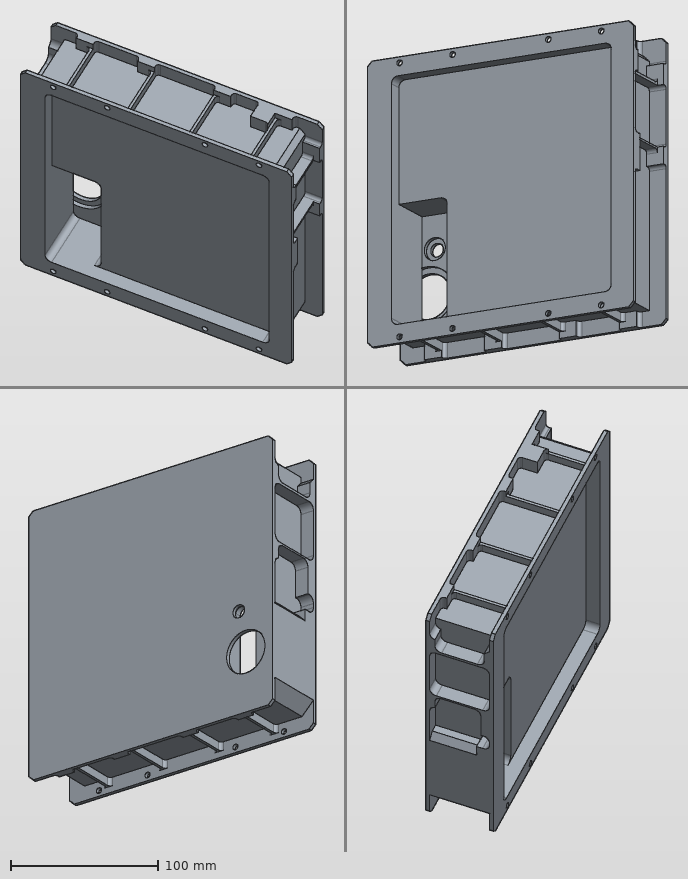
import cadquery as cq

LENGTH = 205.8
DEPTH = 49.8
HEIGHT = 203.3
RIGHT = LENGTH / 2
LEFT = -RIGHT
BACK = DEPTH / 2
FRONT = -BACK
TOP = HEIGHT / 2
CLEAR = 10.3

FLANGE = 2.9
FLANGE_CORNER = 3.7
INNER_BACK = BACK - FLANGE
INNER_FRONT = FRONT + FLANGE

FLOOR_INSET = 11.1
RIB_INSET = 4.7
LEFT_INSET = 10.5
RIGHT_INSET = 13.0
FLOOR_Z = TOP - FLOOR_INSET
RIB_Z = TOP - RIB_INSET
LEFT_FLOOR = LEFT + LEFT_INSET
RIGHT_FLOOR = RIGHT - RIGHT_INSET
RIGHT_RIB = RIGHT - RIB_INSET

PAD = 6.8
WIDE_PAD = 9.3
LIP_PAD = 12.3
BLOCK = 16.5
PAD_BACK = BACK - PAD
PAD_FRONT = FRONT + PAD
WIDE_PAD_FRONT = FRONT + WIDE_PAD

SMALL_RADIUS = 2.5
POCKET_RADIUS = 5.0

RIB = 2.0
INNER_RIB = 22.5
OUTER_RIB = 69.0
PAD_LENGTH = 13.0
BLOCK_LENGTH = 13.8
BLOCK_START = OUTER_RIB - BLOCK_LENGTH
BLOCK_FRONT = BACK - BLOCK

CORNER_LEDGE_Z = 80.7
RIGHT_LEDGE_Z = 82.3
CORNER_FLOOR_Z = 69.3
MIDDLE_TOP_Z = 67.3
MIDDLE_BOTTOM_Z = 23.5
LOWER_TOP_Z = 22.0
LOWER_LEDGE_Z = 11.0
LOBE_TOP_Z = -2.9
LOBE_BOTTOM_Z = -15.8
LOWER_BOTTOM_Z = -20.0
LOWER_FRONT = FRONT + LIP_PAD
LEDGE_CHAMFER = 5.4
LIP_CHAMFER = 4.7

TOP_RIGHT_CHAMFER = 4.1
BOTTOM_LEFT_CHAMFER = 9.7

CAVITY_LEFT = -84.2
CAVITY_RIGHT = 85.8
CAVITY_TOP = 88.3
CAVITY_DEPTH = 10.5
WELL_RIGHT = -47.0
WELL_TOP = 0.5
WELL_FLOOR = 6.2

PORTS = [(-74.3, -23.9, 9.7, 16.3), (-80.3, -56.0, 32.3, 40.7)]
PORT_RECESS = WELL_FLOOR / 2

SCREW_DIAMETER = 4.1
SCREW_EDGE = 4.3
SCREW_X = [-78.0, -37.0, 37.0, 78.0]


def box(x_range, y_range, z_range):
    """Box spanning the given (low, high) ranges."""
    (x0, x1), (y0, y1), (z0, z1) = x_range, y_range, z_range
    return cq.Workplane("XY").box(x1 - x0, y1 - y0, z1 - z0, centered=False).translate((x0, y0, z0))


def rounded_box(x_range, y_range, z_range, axis, radius):
    """Box with the four edges along one axis rounded."""
    return box(x_range, y_range, z_range).edges("|" + axis).fillet(radius)


def cylinder(x, z, diameter, y_range):
    """Cylinder along Y."""
    y0, y1 = y_range
    return cq.Workplane("XZ", origin=(x, y0, z)).circle(diameter / 2).extrude(y0 - y1)


def edge_wedge(x, z, x_size, z_size, y_range):
    """Triangular prism along Y with its square corner at (x, z)."""
    y0, y1 = y_range
    corner = [(x, z), (x + x_size, z), (x, z + z_size)]
    return cq.Workplane("XZ", origin=(0, y0, 0)).polyline(corner).close().extrude(y0 - y1)


FULL_Y = (INNER_FRONT, INNER_BACK)
FRONT_OF_PADS_Y = (INNER_FRONT, PAD_BACK)
BETWEEN_PADS_Y = (PAD_FRONT, PAD_BACK)


def half_bays(with_block):
    """Bays in the right half of the top edge: leaves ribs, back pads and, if asked, the block."""
    height = (FLOOR_Z, TOP + CLEAR)
    inner_start = INNER_RIB + RIB
    inner_pad_end = INNER_RIB + PAD_LENGTH
    outer_pad_end = OUTER_RIB + PAD_LENGTH
    wide_end = BLOCK_START if with_block else OUTER_RIB
    narrow_back = BLOCK_FRONT if with_block else PAD_BACK
    past_end = RIGHT + CLEAR

    def bay(x_range, y_range):
        return rounded_box(x_range, y_range, height, "Z", SMALL_RADIUS)

    bays = bay((-INNER_RIB, INNER_RIB), FULL_Y)
    bays = bays.union(bay((inner_pad_end, wide_end), FULL_Y))
    bays = bays.union(bay((inner_start, wide_end), FRONT_OF_PADS_Y))
    bays = bays.union(bay((inner_start, OUTER_RIB), (INNER_FRONT, narrow_back)))
    bays = bays.union(bay((OUTER_RIB + RIB, past_end), FRONT_OF_PADS_Y))
    bays = bays.union(bay((outer_pad_end, past_end), FULL_Y))

    relief = box((0, past_end), FRONT_OF_PADS_Y, (RIB_Z, TOP + CLEAR))
    if with_block:
        spared_y = (BLOCK_FRONT - SMALL_RADIUS, INNER_BACK)
        relief = relief.cut(box((BLOCK_START, OUTER_RIB), spared_y, height))
    return bays.union(relief)


def left_pockets():
    """Cutting tools for the three stepped pockets in the left side."""
    depth = (LEFT - CLEAR, LEFT_FLOOR)

    def pocket(y_range, z_range):
        return rounded_box(depth, y_range, z_range, "X", POCKET_RADIUS)

    ledge = box(depth, FULL_Y, (CORNER_LEDGE_Z, TOP + CLEAR))
    ledge = ledge.faces(">Y").edges("<Z").fillet(POCKET_RADIUS)
    ledge = ledge.faces("<Y").edges("<Z").chamfer(LEDGE_CHAMFER)
    corner = ledge.union(pocket(BETWEEN_PADS_Y, (CORNER_FLOOR_Z, FLOOR_Z)))

    middle = pocket(FULL_Y, (MIDDLE_BOTTOM_Z, MIDDLE_TOP_Z))

    upper = box(depth, (WIDE_PAD_FRONT, PAD_BACK), (LOBE_BOTTOM_Z, LOWER_TOP_Z))
    upper = upper.faces(">Z").edges("|X").fillet(POCKET_RADIUS)
    lobe = pocket((INNER_FRONT, PAD_BACK), (LOBE_BOTTOM_Z, LOBE_TOP_Z))
    lower_y = (LOWER_FRONT, INNER_BACK)
    base = box(depth, lower_y, (LOWER_BOTTOM_Z, LOWER_LEDGE_Z))
    base = base.faces(">Y").edges(">Z").fillet(POCKET_RADIUS)
    lip = edge_wedge(LEFT, LOWER_BOTTOM_Z, LIP_CHAMFER, -LIP_CHAMFER, lower_y)
    return [corner, middle, upper, lobe, base, lip]


def right_channel():
    """Cutting tools for the recess along the right side: leaves two cross ribs and the pads beside them."""
    depth = (RIGHT_FLOOR, RIGHT + CLEAR)
    top = TOP + CLEAR
    bottom = -top

    def recess(y_range, z_range):
        return rounded_box(depth, y_range, z_range, "X", SMALL_RADIUS)

    return [
        recess(FULL_Y, (RIGHT_LEDGE_Z, top)),
        recess(BETWEEN_PADS_Y, (CORNER_FLOOR_Z, top)),
        recess(FULL_Y, (MIDDLE_BOTTOM_Z, MIDDLE_TOP_Z)),
        recess((WIDE_PAD_FRONT, PAD_BACK), (bottom, LOWER_TOP_Z)),
        recess((INNER_FRONT, PAD_BACK), (bottom, LOBE_TOP_Z)),
        recess((WIDE_PAD_FRONT, INNER_BACK), (bottom, LOWER_LEDGE_Z)),
        box((RIGHT_RIB, RIGHT + CLEAR), BETWEEN_PADS_Y, (MIDDLE_TOP_Z, top)),
        box((RIGHT_RIB, RIGHT + CLEAR), (WIDE_PAD_FRONT, PAD_BACK), (bottom, MIDDLE_BOTTOM_Z)),
    ]


def cavity():
    """Shallow front cavity with a deep well in its lower left corner."""
    floor_y = FRONT + CAVITY_DEPTH
    well_y = BACK - WELL_FLOOR
    x_range = (CAVITY_LEFT, CAVITY_RIGHT)
    z_range = (-CAVITY_TOP, CAVITY_TOP)
    shallow = rounded_box(x_range, (FRONT - CLEAR, floor_y), z_range, "Y", POCKET_RADIUS)
    well = box((CAVITY_LEFT, WELL_RIGHT), (FRONT, well_y), (-CAVITY_TOP, WELL_TOP))
    well = well.edges("|Y").edges(">X or <Z").fillet(POCKET_RADIUS)
    return shallow.union(well)


body = box((LEFT, RIGHT), (FRONT, BACK), (-TOP, TOP))
body = body.edges("|Y").chamfer(FLANGE_CORNER)

plain_half = half_bays(False)
plain_left = plain_half.mirror("YZ")
body = body.cut(half_bays(True)).cut(plain_left)
body = body.cut(plain_half.mirror("XY")).cut(plain_left.mirror("XY"))

for recess in left_pockets() + right_channel():
    body = body.cut(recess)

body = body.cut(edge_wedge(RIGHT_FLOOR, FLOOR_Z, -TOP_RIGHT_CHAMFER, -TOP_RIGHT_CHAMFER, FULL_Y))
body = body.cut(edge_wedge(LEFT, -FLOOR_Z, BOTTOM_LEFT_CHAMFER, BOTTOM_LEFT_CHAMFER, FULL_Y))

body = body.cut(cavity())

for x, z, through_diameter, recess_diameter in PORTS:
    port_y = BACK - WELL_FLOOR
    body = body.cut(cylinder(x, z, recess_diameter, (port_y, port_y + PORT_RECESS)))
    body = body.cut(cylinder(x, z, through_diameter, (port_y, BACK)))

for x in SCREW_X:
    for z in (TOP - SCREW_EDGE, SCREW_EDGE - TOP):
        body = body.cut(cylinder(x, z, SCREW_DIAMETER, (FRONT, INNER_FRONT)))

result = body